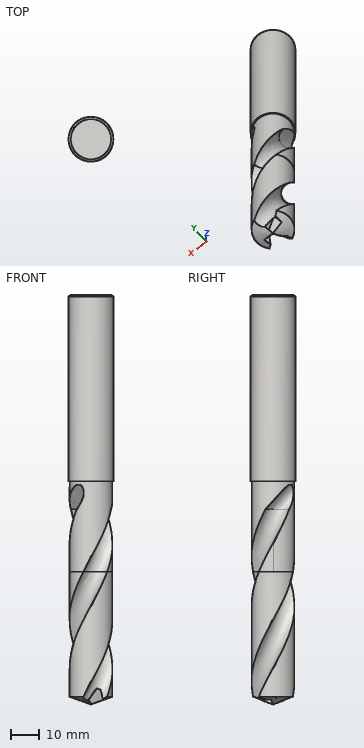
import cadquery as cq
import math

total_length = 145.0
shank_diameter = 16.0
shank_bottom = 79.0
shank_bevel_width = 0.9
shank_bevel_height = 0.6
drill_diameter = 15.2
point_angle = 140.0
joint_height = 47.0

flute_count = 2
flute_lead = 88.5
flute_radius = 4.5
flute_offset = 7.4
flute_start_angle = 92.7
helix_top = 69.2
helix_bottom = -1.5

runout_height = 10.9
runout_tangent_slope = 0.9
runout_radial_slope = 0.21

gash_apex_x = 2.9
gash_apex_height = 7.1
gash_inner_x = -1.0
gash_inner_height = 2.6
gash_outer_x = 5.2
gash_lean = 22.0
gash_depth = 8.7

drill_radius = drill_diameter / 2
point_height = drill_radius / math.tan(math.radians(point_angle / 2))


def flute_angle(height):
    return flute_start_angle + 360 * height / flute_lead


def half_turns(shape):
    """The shape repeated once for each flute around the drill axis."""
    step = 360 / flute_count
    return [shape.rotate((0, 0, 0), (0, 0, 1), i * step) for i in range(flute_count)]


def make_helix_cutter():
    height = helix_top - helix_bottom
    return (
        cq.Workplane("XY")
        .moveTo(flute_offset, 0)
        .circle(flute_radius)
        .twistExtrude(height, 360 * height / flute_lead)
        .rotate((0, 0, 0), (0, 0, 1), flute_angle(helix_bottom))
        .translate((0, 0, helix_bottom))
        .val()
    )


def make_runout_cutter():
    circle = cq.Wire.makeCircle(flute_radius, cq.Vector(flute_offset, 0, helix_top), cq.Vector(0, 0, 1))
    travel = cq.Vector(runout_radial_slope, runout_tangent_slope, 1) * runout_height
    cutter = cq.Solid.extrudeLinear(circle, [], travel)
    return cutter.rotate((0, 0, 0), (0, 0, 1), flute_angle(helix_top))


def make_gash_cutter():
    """Pointed prism beside the chisel edge, tilted so that its back face overhangs."""
    return (
        cq.Workplane("XZ")
        .polyline([
            (0, 0),
            (gash_inner_x, gash_inner_height),
            (gash_apex_x, gash_apex_height),
            (gash_outer_x, 0),
        ])
        .close()
        .extrude(gash_depth)
        .rotate((0, 0, 0), (1, 0, 0), gash_lean)
        .val()
    )


def cut_all(body, cutters):
    for cutter in cutters:
        body = body.cut(cq.Workplane(cutter))
    return body


def make_cutting_head(helix_cutters):
    blank = (
        cq.Workplane("XZ")
        .polyline([(0, 0), (drill_radius, point_height), (drill_radius, joint_height), (0, joint_height)])
        .close()
        .revolve(360, (0, 0), (0, 1))
    )
    return cut_all(blank, helix_cutters + half_turns(make_gash_cutter()))


def make_holder(helix_cutters):
    neck = (
        cq.Workplane("XY", origin=(0, 0, joint_height))
        .circle(drill_radius)
        .extrude(shank_bottom - joint_height)
    )
    neck = cut_all(neck, helix_cutters + half_turns(make_runout_cutter()))
    shank = (
        cq.Workplane("XY", origin=(0, 0, shank_bottom))
        .circle(shank_diameter / 2)
        .extrude(total_length - shank_bottom)
        .faces(">Z")
        .chamfer(shank_bevel_height, shank_bevel_width)
    )
    return shank.union(neck)


helix_cutters = half_turns(make_helix_cutter())
cutting_head = make_cutting_head(helix_cutters)
holder = make_holder(helix_cutters)

result = cq.Compound.makeCompound([cutting_head.val(), holder.val()])